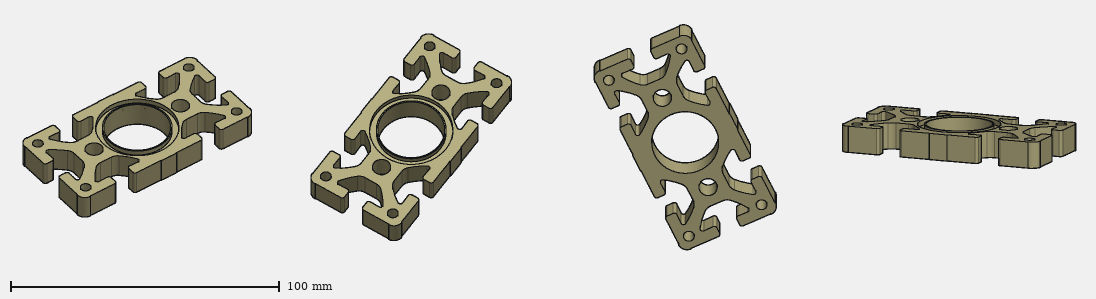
import cadquery as cq
import math

cell = 40.0
cell_count = 2
thickness = 10.0
corner_radius = 3.6

slot_half_opening = 4.1
lip_inset = 0.2
lip_tip_thickness = 4.6
lip_edge_radius = 1.0
lip_under_height = 15.4
slot_floor = 7.4
floor_half_width = 2.6
floor_radius = 3.9
floor_turn = 43.0
flank_radius = 29.6
pocket_radius = 1.0

core_hole_diameter = 6.8
corner_hole_diameter = 4.0
corner_hole_offset = 15.0

bore_diameter = 25.0
groove_inner_diameter = 26.0
groove_outer_diameter = 31.0
groove_depth = 2.0

half_cell = cell / 2
length = cell * cell_count
half_length = length / 2
cell_ys = [(index + 0.5) * cell - half_length for index in range(cell_count)]
cell_centers = [(0, y) for y in cell_ys]


def arc_point(start, radius, start_heading, end_heading):
    """Point reached from start by a left-hand arc that turns between two headings (radians from +X)."""
    x, y = start
    return (
        x + radius * (math.sin(end_heading) - math.sin(start_heading)),
        y + radius * (math.cos(start_heading) - math.cos(end_heading)),
    )


def half_slot():
    """Right half of a T-slot that opens towards +Y, with the cell axis at the origin."""
    lip_start = half_cell - corner_radius
    tip_top = half_cell - lip_inset
    tip_bottom = tip_top - lip_tip_thickness

    floor_heading = math.radians(floor_turn)
    floor_start = (floor_half_width, slot_floor)
    flank_start = arc_point(floor_start, floor_radius, 0, floor_heading)
    pocket_center_rise = lip_under_height - flank_start[1] - pocket_radius
    flank_heading = math.acos(
        (flank_radius * math.cos(floor_heading) - pocket_center_rise) / (flank_radius - pocket_radius)
    )
    pocket_start = arc_point(flank_start, flank_radius, floor_heading, flank_heading)

    arcs = [
        (floor_start, floor_radius, 0, floor_heading),
        (flank_start, flank_radius, floor_heading, flank_heading),
        (pocket_start, pocket_radius, flank_heading, math.pi),
    ]
    outline = cq.Workplane("XY").moveTo(0, slot_floor).lineTo(*floor_start)
    for start, radius, heading, end_heading in arcs:
        middle = arc_point(start, radius, heading, (heading + end_heading) / 2)
        outline = outline.threePointArc(middle, arc_point(start, radius, heading, end_heading))

    shape = (
        outline.lineTo(slot_half_opening, tip_bottom)
        .lineTo(slot_half_opening, tip_top)
        .lineTo(lip_start, tip_top)
        .lineTo(lip_start, half_cell)
        .lineTo(0, half_cell)
        .close()
        .extrude(thickness)
    )
    for tip_y in (tip_bottom, tip_top):
        tip_edge = cq.selectors.NearestToPointSelector((slot_half_opening, tip_y, thickness / 2))
        shape = shape.edges("|Z").edges(tip_edge).fillet(lip_edge_radius)
    return shape


result = cq.Workplane("XY").rect(cell, length).extrude(thickness).edges("|Z").fillet(corner_radius)

right_half = half_slot()
slot = right_half.union(right_half.mirror("YZ"))
side_slots = [(y, turn) for y in cell_ys for turn in (90, -90)]
end_slots = [(cell_ys[0], 180), (cell_ys[-1], 0)]
for y, turn in side_slots + end_slots:
    result = result.cut(slot.rotate((0, 0, 0), (0, 0, 1), turn).translate((0, y, 0)))


def top_face():
    """Workplane on the top face, centred on the plate."""
    return result.faces(">Z").workplane(origin=(0, 0, thickness))


result = top_face().pushPoints(cell_centers).hole(core_hole_diameter)

corner_hole_y = cell_ys[-1] + corner_hole_offset
corner_rectangle = top_face().rect(2 * corner_hole_offset, 2 * corner_hole_y, forConstruction=True)
result = corner_rectangle.vertices().hole(corner_hole_diameter)

result = top_face().hole(bore_diameter)
groove = top_face().circle(groove_outer_diameter / 2).circle(groove_inner_diameter / 2)
result = groove.cutBlind(-groove_depth)